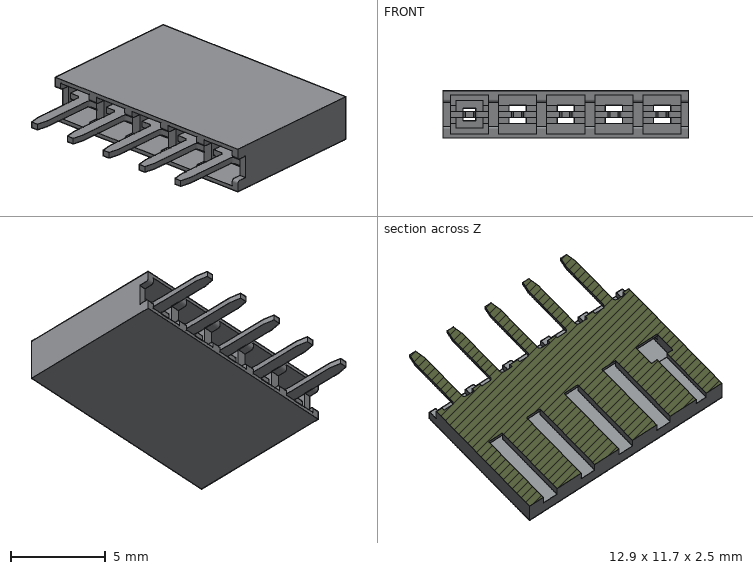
import cadquery as cq

body_width = 12.95
body_length = 8.52
body_height = 2.5

contact_count = 5
pitch = 2.54
pin_width = 0.65
pin_thickness = 0.34
pin_reach = 3.17
pin_taper_length = 0.65
pin_tip_width = 0.41
shoulder_radius = 0.17

notch_height = 1.25
notch_depth = 0.61
notch_lip_radius = 0.15

pocket_width = 2.01
pocket_height = 2.05
pocket_depth = 2.0
slot_height = 0.95
slot_depth = 3.88
plate_depth = 0.78
opening_width = 0.9

first_recess_width = 1.41
first_recess_height = 1.45
first_recess_depth = 5.18
first_opening_size = 0.65

contact_xs = [(i - (contact_count - 1) / 2) * pitch for i in range(contact_count)]


def block_from_pin_side(x, width, height, start, end):
    """Box centred on Z = 0 at the given X, from depth start to depth end along +Y."""
    return (
        cq.Workplane("XY")
        .box(width, end - start, height, centered=(True, False, True))
        .translate((x, start, 0))
    )


def make_housing():
    return block_from_pin_side(0, body_width, body_height, 0, body_length)


def make_notch():
    """Slot along the full width whose two outer edges are rounded over."""
    half = notch_height / 2
    flared = half + notch_lip_radius
    return (
        cq.Workplane("YZ")
        .moveTo(0, -flared)
        .radiusArc((notch_lip_radius, -half), notch_lip_radius)
        .lineTo(notch_depth, -half)
        .lineTo(notch_depth, half)
        .lineTo(notch_lip_radius, half)
        .radiusArc((0, flared), notch_lip_radius)
        .close()
        .extrude(body_width / 2, both=True)
    )


def make_chamber(x, is_first):
    chamber = block_from_pin_side(x, pocket_width, pocket_height, 0, pocket_depth)
    chamber = chamber.union(block_from_pin_side(x, pocket_width, slot_height, 0, slot_depth))
    if is_first:
        recess = block_from_pin_side(x, first_recess_width, first_recess_height, 0, first_recess_depth)
        opening = block_from_pin_side(x, first_opening_size, first_opening_size, 0, body_length)
        return chamber.union(recess).union(opening)
    return chamber.union(block_from_pin_side(x, opening_width, slot_height, 0, body_length))


def make_contact(x):
    """Flat plate reaching the end of the slot, with a tapered pin leading out of it."""
    half_plate = pocket_width / 2
    half_pin = pin_width / 2
    half_tip = pin_tip_width / 2
    taper_start = pin_taper_length - pin_reach
    outline = (
        cq.Workplane("XY")
        .moveTo(-half_plate, slot_depth)
        .lineTo(-half_plate, plate_depth)
        .lineTo(-half_pin - shoulder_radius, plate_depth)
        .radiusArc((-half_pin, plate_depth - shoulder_radius), shoulder_radius)
        .lineTo(-half_pin, taper_start)
        .lineTo(-half_tip, -pin_reach)
        .lineTo(half_tip, -pin_reach)
        .lineTo(half_pin, taper_start)
        .lineTo(half_pin, plate_depth - shoulder_radius)
        .radiusArc((half_pin + shoulder_radius, plate_depth), shoulder_radius)
        .lineTo(half_plate, plate_depth)
        .lineTo(half_plate, slot_depth)
        .close()
    )
    return outline.extrude(pin_thickness / 2, both=True).translate((x, 0, 0))


result = make_housing().cut(make_notch())
for index, contact_x in enumerate(contact_xs):
    result = result.cut(make_chamber(contact_x, index == 0))
    result = result.union(make_contact(contact_x))